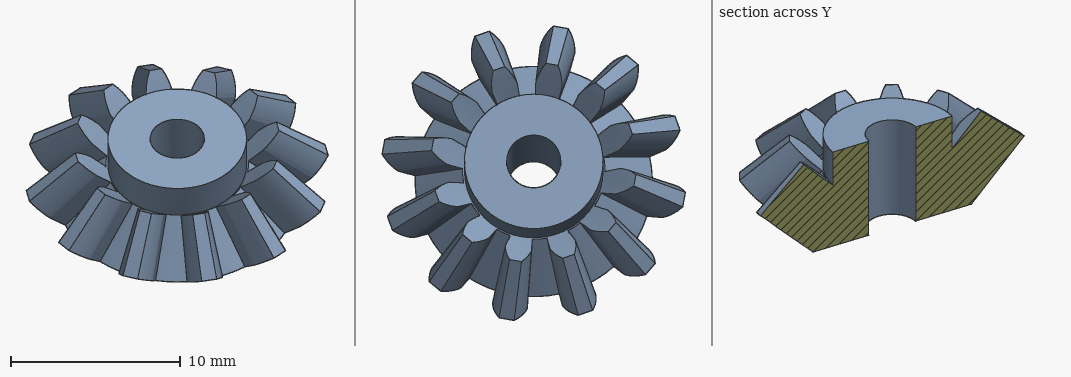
import cadquery as cq
import math

tooth_count = 12
total_height = 6.5
bore_radius = 3.2 / 2
hub_radius = 8.17 / 2
base_radius = 5.4
rim_height = 1.59
rim_radius = base_radius + rim_height
crest_radius = 4.2
face_run = rim_radius - crest_radius
crest_height = rim_height + face_run
hub_foot_height = crest_height - (crest_radius - hub_radius)

tip_radius = 18.03 / 2
root_two = math.sqrt(2)
sink = 0.22
overrun = 0.1
tip_clearance = 0.54

wide_tip_height = (tip_radius - rim_radius) * root_two
narrow_tip_height = 2.63
wide_shoulder_height = 1.59
narrow_shoulder_height = 1.46
tip_corner = ((0.45, wide_tip_height), (0.36, narrow_tip_height))
crown_middle = (
    (0.81, (wide_tip_height + wide_shoulder_height) / 2),
    (0.61, (narrow_tip_height + narrow_shoulder_height) / 2),
)
shoulder = ((1.01, wide_shoulder_height), (0.75, narrow_shoulder_height))
belly = ((1.05, 1.3), (0.8, 1.25))
root_corner = ((0.9, 0.0), (0.67, 0.0))


def revolved(outline):
    """Full turn about Z of a closed (radius, height) outline."""
    return cq.Workplane("XZ").polyline(outline).close().revolve(360, (0, 0, 0), (0, 1, 0))


def section_point(ends, position, side):
    """Section point at a position along the tooth, from 0 at the wide end to 1 at the narrow end."""
    (wide_x, wide_y), (narrow_x, narrow_y) = ends
    x = wide_x + (narrow_x - wide_x) * position
    y = wide_y + (narrow_y - wide_y) * position
    return (side * x, y)


def tooth_section(position):
    """Closed tooth outline in a plane square to the root cone on the +X side."""

    def point(ends, side):
        return section_point(ends, position, side)

    step = face_run * position
    plane = cq.Plane(
        origin=(rim_radius - step, 0, rim_height + step),
        xDir=(0, -1, 0),
        normal=(-1, 0, 1),
    )
    right_root = point(root_corner, 1)
    left_root = point(root_corner, -1)
    return (
        cq.Workplane(plane)
        .moveTo(left_root[0], -sink)
        .lineTo(right_root[0], -sink)
        .lineTo(*right_root)
        .lineTo(*point(belly, 1))
        .lineTo(*point(shoulder, 1))
        .threePointArc(point(crown_middle, 1), point(tip_corner, 1))
        .lineTo(*point(tip_corner, -1))
        .threePointArc(point(crown_middle, -1), point(shoulder, -1))
        .lineTo(*point(belly, -1))
        .lineTo(*left_root)
        .close()
        .wires()
        .val()
    )


def make_root_cone():
    """Plain cone carrying the teeth, longer than the finished face at both ends."""
    apex_height = rim_radius + rim_height
    return revolved([(0, 0), (apex_height, 0), (0, apex_height)])


def make_tooth_bar():
    """Tapered tooth on the +X side, longer than the finished face at both ends."""
    ends = [tooth_section(-overrun), tooth_section(1 + overrun)]
    return cq.Workplane(cq.Solid.makeLoft(ends, True))


def make_trimming_envelope():
    """Space between the back cone, the front cone and the base, open above the tooth tips."""
    back_rise = tip_radius + tip_clearance - base_radius
    front_rise = narrow_tip_height / root_two + tip_clearance
    return revolved([
        (0, 0),
        (base_radius, 0),
        (base_radius + back_rise, back_rise),
        (crest_radius + front_rise, crest_height + front_rise),
        (hub_radius, hub_foot_height),
        (0, hub_foot_height),
    ])


toothed_cone = make_root_cone()
tooth_bar = make_tooth_bar()
for index in range(tooth_count):
    angle = index * 360 / tooth_count
    toothed_cone = toothed_cone.union(tooth_bar.rotate((0, 0, 0), (0, 0, 1), angle))

hub = cq.Workplane("XY").circle(hub_radius).extrude(total_height)
bore = cq.Workplane("XY").circle(bore_radius).extrude(total_height)
result = toothed_cone.intersect(make_trimming_envelope()).union(hub).cut(bore)